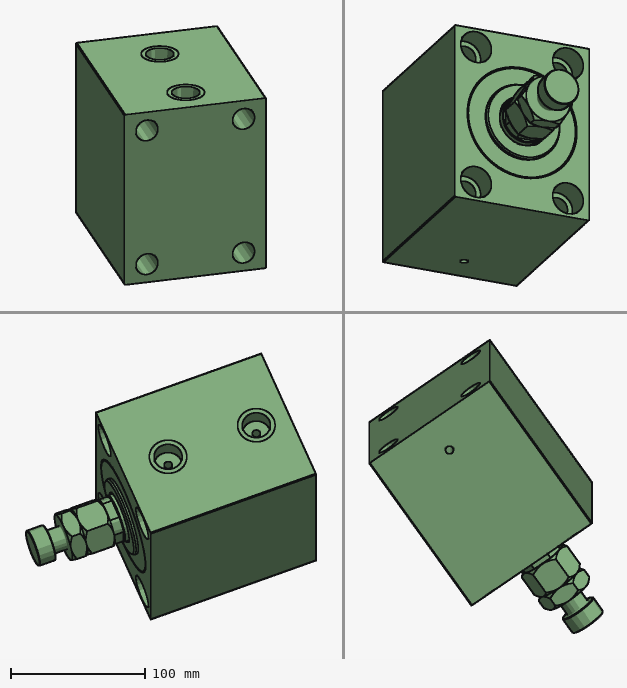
import cadquery as cq
import math


block_length = 133.0
block_width = 110.0
block_height = 140.0
block_edge_chamfer = 0.7

screw_spacing_y = 75.0
screw_spacing_z = 110.0
screw_hole_diameter = 17.0
screw_head_diameter = 25.0
screw_head_depth = 20.0

front_port_x = 36.0
port_spacing = 71.0
spotface_diameter = 28.0
spotface_depth = 0.1
port_diameter = 21.0
port_depth = 13.5
oil_hole_diameter = 6.0

bore_diameter = 63.0
bore_end_x = 112.0
seat_diameter = 87.6
seat_depth = 30.0
seat_chamfer = 1.0

collar_diameter = 60.0
collar_length = 3.3
collar_chamfer = (1.5, 1.0)
gland_nose_diameter = 62.0
gland_end_x = 36.7
wiper_recess_diameter = 39.5
wiper_recess_depth = 3.0

piston_end_x = 108.7
rod_diameter = 36.8
rod_shoulder_x = -6.3
rod_shoulder_chamfer = 0.6
rod_tip_diameter = 35.3
rod_tip_flats = 32.0
rod_tip_length = 7.5

hex_flats = 36.0
hex_corner_diameter = hex_flats / math.cos(math.pi / 6)
rear_hex_length = 22.2
front_hex_length = 12.2
neck_length = 11.6
neck_diameter = 18.5
neck_fillet = 0.8
head_length = 13.2
head_diameter = 28.0
head_chamfer = 0.5


def x_cylinder(diameter, start_x, end_x):
    """Cylinder on the X axis from start_x to end_x."""
    return cq.Workplane("YZ", origin=(start_x, 0, 0)).circle(diameter / 2).extrude(end_x - start_x)


def z_cylinder(diameter, x, bottom_z, top_z):
    """Vertical cylinder at x on the middle plane of the block."""
    return cq.Workplane("XY", origin=(x, 0, bottom_z)).circle(diameter / 2).extrude(top_z - bottom_z)


def oil_port(x, oil_hole_bottom_z):
    """Cutter for one port: spotface, connection hole and the small oil hole below it."""
    top = block_height / 2
    spotface = z_cylinder(spotface_diameter, x, top - spotface_depth, top)
    connection = z_cylinder(port_diameter, x, top - port_depth, top)
    oil_hole = z_cylinder(oil_hole_diameter, x, oil_hole_bottom_z, top)
    return spotface.union(connection).union(oil_hole)


def make_housing():
    block = cq.Workplane("YZ").rect(block_width, block_height).extrude(block_length)
    block = block.edges("|X").chamfer(block_edge_chamfer)

    seat = x_cylinder(seat_diameter, 0, seat_depth)
    mouth = cq.Workplane("YZ").circle(seat_diameter / 2 + seat_chamfer).extrude(seat_chamfer, taper=45)
    bore = x_cylinder(bore_diameter, 0, bore_end_x)
    block = block.cut(seat).cut(mouth).cut(bore)

    screw_holes = cq.Workplane("YZ").rect(screw_spacing_y, screw_spacing_z, forConstruction=True).vertices()
    block = block.cut(screw_holes.circle(screw_hole_diameter / 2).extrude(block_length))
    block = block.cut(screw_holes.circle(screw_head_diameter / 2).extrude(screw_head_depth))

    block = block.cut(oil_port(front_port_x, 0))
    return block.cut(oil_port(front_port_x + port_spacing, -block_height / 2))


def make_gland():
    axial_chamfer, radial_chamfer = collar_chamfer
    collar = x_cylinder(collar_diameter, -collar_length, 0)
    collar = collar.faces("<X").edges().chamfer(axial_chamfer, radial_chamfer)
    flange = x_cylinder(seat_diameter, 0, seat_depth)
    nose = x_cylinder(gland_nose_diameter, seat_depth, gland_end_x)
    rod_hole = x_cylinder(rod_diameter, -collar_length, gland_end_x)
    wiper_recess = x_cylinder(wiper_recess_diameter, -collar_length, wiper_recess_depth - collar_length)
    return collar.union(flange).union(nose).cut(rod_hole).cut(wiper_recess)


def make_piston_rod():
    piston = x_cylinder(bore_diameter, gland_end_x, piston_end_x)
    rod = x_cylinder(rod_diameter, rod_shoulder_x, gland_end_x)
    rod = rod.faces("<X").edges().chamfer(rod_shoulder_chamfer)
    tip = x_cylinder(rod_tip_diameter, rod_shoulder_x - rod_tip_length, rod_shoulder_x)
    square = cq.Workplane("YZ", origin=(rod_shoulder_x, 0, 0)).rect(rod_tip_flats, rod_tip_flats)
    tip = tip.intersect(square.extrude(-rod_tip_length))
    return piston.union(rod).union(tip)


def hexagon(start_x, length):
    """Hexagon with corners on the Y axis, both ends turned down at 45 degrees to the flats."""
    prism = cq.Workplane("YZ", origin=(start_x, 0, 0)).polygon(6, hex_corner_diameter).extrude(length)
    corner_chamfer = (hex_corner_diameter - hex_flats) / 2
    turned = x_cylinder(hex_corner_diameter, start_x, start_x + length).edges().chamfer(corner_chamfer)
    return prism.intersect(turned)


def make_coupling_pin():
    rear_x = rod_shoulder_x - rod_tip_length
    hex_joint_x = rear_x - rear_hex_length
    hex_front_x = hex_joint_x - front_hex_length
    head_rear_x = hex_front_x - neck_length
    rear_hex = hexagon(hex_joint_x, rear_hex_length)
    front_hex = hexagon(hex_front_x, front_hex_length)
    head = x_cylinder(head_diameter, head_rear_x - head_length, head_rear_x).edges().chamfer(head_chamfer)
    neck = x_cylinder(neck_diameter, head_rear_x, hex_front_x)
    pin = rear_hex.union(front_hex).union(neck).union(head)
    neck_ends = cq.selectors.RadiusNthSelector(0)
    return pin.edges("%CIRCLE").edges(neck_ends).fillet(neck_fillet)


housing = make_housing()
gland = make_gland()
piston_rod = make_piston_rod()
coupling_pin = make_coupling_pin()

result = cq.Compound.makeCompound([housing.val(), gland.val(), piston_rod.val(), coupling_pin.val()])